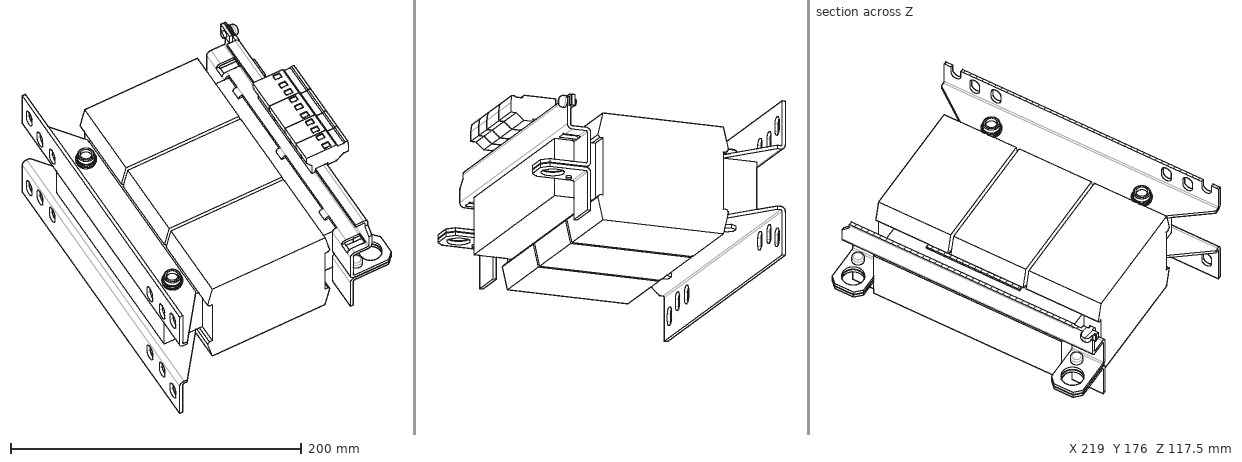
import cadquery as cq
import math


CORE_SIZE = 150.0
YOKE_WIDTH = CORE_SIZE / 5
CORE_HALF = CORE_SIZE / 2
CORE_HALF_HEIGHT = 20.6
WINDOW_HALF = CORE_HALF - YOKE_WIDTH

COIL_PITCH = 2 * YOKE_WIDTH
COIL_WIDTH = 57.6
COIL_HALF_HEIGHT = 38.5
COIL_HALF_LENGTH = 44.7
FLANGE_HALF_LENGTH = 48.45
FLANGE_TIP_Z = 22.4
FLANGE_ROOT_Y = 47.0

SHEET = 2.5
BEND_INNER = 1.0
BEND_OUTER = BEND_INNER + SHEET
PLATE_TOP = CORE_HALF_HEIGHT + SHEET

FOOT_LENGTH = 219.0
FOOT_FRONT_Y = -82.4
FOOT_BACK_Y = -50.0
FOOT_END_Y = -76.4
FOOT_HALF_HEIGHT = 55.5
SLOT_WIDTH = 7.6
SLOT_LENGTH = 13.2
FOOT_SLOTS = [(100.0, 40.1), (85.0, 33.5), (68.0, 33.5)]

SCREW_X = COIL_PITCH
SCREW_Y = -CORE_HALF + YOKE_WIDTH / 2
WASHER_DIAMETER = 13.6
WASHER_HEIGHT = 2.0
LOCK_RING_DIAMETER = 14.6
LOCK_RING_HEIGHT = 0.5
SPRING_WASHER_DIAMETER = 12.2
SPRING_WASHER_HEIGHT = 1.4
HEAD_DIAMETER = 11.8
HEAD_HEIGHT = 4.0
HEAD_CHAMFER = 0.7
SOCKET_DIAMETER = 8.2
SOCKET_DEPTH = 3.0
NUT_FLATS = 8.8
NUT_HEIGHT = 2.6

BRACKET_HALF_LENGTH = 100.0
EYE_WIDTH = BRACKET_HALF_LENGTH - CORE_HALF
LEG_FRONT_Y = 58.3
FIN_BACK_Y = 75.5
EYE_TOP_Z = -2.6
EYE_GAP = 0.6
UPPER_EYE_BOTTOM_Z = EYE_TOP_Z - SHEET
LOWER_EYE_TOP_Z = UPPER_EYE_BOTTOM_Z - EYE_GAP
EYE_BACK_Y = 93.6
EYE_CHAMFER = 5.0
EYE_HOLE_DIAMETER = 16.0
EYE_HOLE_Y = 81.4
LOWER_LEG_Z = -36.4
TAB_WIDTH = 7.8
RAIL_TOP_Z = 45.7
RAIL_FRONT_Y = 65.6
RAIL_LEFT_X = -84.4
RAIL_RIGHT_X = 94.3
EAR_TOP_Z = 43.8
FIN_CHAMFER = BRACKET_HALF_LENGTH - RAIL_RIGHT_X
FIN_CORNER_Z = 33.7
ACCESS_CENTERS = [-82.75, 91.65]
ACCESS_WIDTH = 8.2
ACCESS_BOTTOM_Z = 19.9

EYE_SCREW_Y = 67.7
EYE_SCREW_HEAD_DIAMETER = 8.7
EYE_SCREW_HEAD_HEIGHT = 4.3
EYE_SCREW_FILLET = 1.2
EYE_SCREW_DIAMETER = 4.0
EYE_SCREW_END_Z = -9.5

EARTH_X = -95.8
EARTH_Z = 41.2
EARTH_HEAD_DIAMETER = 8.4
EARTH_HEAD_BACK_Y = 80.0
EARTH_HEAD_FILLET = 3.0
EARTH_CLAMP_WIDTH = 12.2
EARTH_CLAMP_HEIGHT = 7.8
EARTH_CLAMPS_Y = [(73.4, 74.5), (70.6, 73.0)]
EARTH_SHANK_DIAMETER = 5.0
EARTH_SHANK_END_Y = 68.2

BLOCK_LEFT_X = -36.1
BLOCK_RIGHT_X = 38.6
BLOCK_JOINTS_X = [-13.3, 8.6, 23.8]
JOINT_WIDTH = 0.1
JOINT_DEPTH = 0.2
TERMINALS_X = [-32.8, -24.7, -17.5, -10.2, -2.9, 5.2, 12.4, 19.7, 27.0, 35.1]
TERMINAL_WIDTH = 3.8
TERMINAL_FRONT_Y = 73.6
TERMINAL_BACK_Y = 78.7
TERMINAL_DEPTH = 1.0
CLIP_BOTTOM_Z = 41.9
CLIP_FRONT_Y = 62.7
BLOCK_HEEL_Z = 43.8
BLOCK_SEAT_Z = RAIL_TOP_Z - 0.2
BLOCK_TOP_Z = 62.0
BLOCK_OUTLINE = [
    (58.5, BLOCK_TOP_Z),
    (82.0, BLOCK_TOP_Z),
    (83.5, 60.0),
    (88.2, 60.0),
    (89.2, 60.8),
    (91.2, 60.8),
    (92.0, 55.4),
    (92.0, 48.7),
    (88.0, 48.7),
    (82.2, BLOCK_HEEL_Z),
    (FIN_BACK_Y, BLOCK_HEEL_Z),
    (FIN_BACK_Y, BLOCK_SEAT_Z),
    (RAIL_FRONT_Y, BLOCK_SEAT_Z),
    (RAIL_FRONT_Y, CLIP_BOTTOM_Z),
    (CLIP_FRONT_Y, CLIP_BOTTOM_Z),
    (CLIP_FRONT_Y, 51.0),
    (58.5, 56.6),
]


def box(x_range, y_range, z_range):
    """Block between the given limits on each axis."""
    size = [high - low for low, high in (x_range, y_range, z_range)]
    return cq.Workplane("XY").box(*size, centered=False).translate((x_range[0], y_range[0], z_range[0]))


def prism_x(outline, x_start, x_end):
    """Extrude a (y, z) outline from x_start to x_end."""
    return cq.Workplane("YZ", origin=(x_start, 0, 0)).polyline(outline).close().extrude(x_end - x_start)


def disc(x, y, z, diameter, height):
    """Upright cylinder standing on height z."""
    return cq.Workplane("XY", origin=(x, y, z)).circle(diameter / 2).extrude(height)


def disc_y(x, z, diameter, y_start, y_end):
    """Cylinder along Y from y_start to y_end."""
    plane = cq.Workplane("XZ", origin=(x, y_start, z))
    return plane.circle(diameter / 2).extrude(y_start - y_end)


def bent_strip(path, x_start, x_end):
    """Sheet strip along X with one face on a (y, z) path and its thickness to the right of the path.

    Both faces are rounded at every bend: the convex one by the outer radius, the concave one by the inner.
    """
    directions = []
    for (y0, z0), (y1, z1) in zip(path, path[1:]):
        length = math.hypot(y1 - y0, z1 - z0)
        directions.append(((y1 - y0) / length, (z1 - z0) / length))
    offset_path = [offset_corner(path[0], directions[0], directions[0])]
    for corner, before, after in zip(path[1:-1], directions, directions[1:]):
        offset_path.append(offset_corner(corner, before, after))
    offset_path.append(offset_corner(path[-1], directions[-1], directions[-1]))
    strip = prism_x(path + offset_path[::-1], x_start, x_end)
    x_middle = (x_start + x_end) / 2
    for index in range(1, len(path) - 1):
        before, after = directions[index - 1], directions[index]
        turns_right = before[0] * after[1] - before[1] * after[0] < 0
        path_radius, offset_radius = (BEND_OUTER, BEND_INNER) if turns_right else (BEND_INNER, BEND_OUTER)
        for (y, z), radius in ((path[index], path_radius), (offset_path[index], offset_radius)):
            edge = cq.selectors.NearestToPointSelector((x_middle, y, z))
            strip = strip.edges("|X").edges(edge).fillet(radius)
    return strip


def offset_corner(corner, before, after):
    """Corner moved by the sheet thickness to the right of its two right-angled path directions."""
    normals = {(round(d[1]), round(-d[0])) for d in (before, after)}
    return tuple(corner[axis] + SHEET * sum(normal[axis] for normal in normals) for axis in (0, 1))


def mirror_x(body):
    """The body together with its mirror image across X = 0."""
    return body.union(body.mirror("YZ"))


def make_core():
    """Core with two windows between its three legs."""
    core = cq.Workplane("XY").box(CORE_SIZE, CORE_SIZE, 2 * CORE_HALF_HEIGHT)
    windows = cq.Workplane("XY").pushPoints([(-YOKE_WIDTH, 0), (YOKE_WIDTH, 0)])
    return core.cut(windows.box(YOKE_WIDTH, 2 * WINDOW_HALF, 2 * CORE_HALF_HEIGHT))


def make_coils():
    """One coil around each leg, with sloping end flanges above and below the yokes."""
    flange_side = [
        (COIL_HALF_LENGTH, CORE_HALF_HEIGHT),
        (FLANGE_ROOT_Y, CORE_HALF_HEIGHT),
        (FLANGE_HALF_LENGTH, FLANGE_TIP_Z),
        (COIL_HALF_LENGTH, COIL_HALF_HEIGHT),
    ]
    back = [(y, -z) for y, z in reversed(flange_side)] + flange_side
    front = [(-y, -z) for y, z in back]
    coils = cq.Workplane("XY")
    for center in (-COIL_PITCH, 0, COIL_PITCH):
        coils = coils.union(prism_x(back + front, center - COIL_WIDTH / 2, center + COIL_WIDTH / 2))
    return coils


def make_upper_foot():
    """Angle on top of the front yoke: tapered plate and a slotted upright flange."""
    half_length = FOOT_LENGTH / 2
    path = [
        (FOOT_BACK_Y, CORE_HALF_HEIGHT),
        (FOOT_FRONT_Y, CORE_HALF_HEIGHT),
        (FOOT_FRONT_Y, FOOT_HALF_HEIGHT),
    ]
    foot = bent_strip(path, -half_length, half_length)
    corner = [(half_length, FOOT_END_Y), (half_length, FOOT_BACK_Y), (CORE_HALF, FOOT_BACK_Y)]
    taper = cq.Workplane("XY").polyline(corner).close().extrude(FOOT_HALF_HEIGHT)
    foot = foot.cut(mirror_x(taper))
    centers = [(side * x, z) for x, z in FOOT_SLOTS for side in (-1, 1)]
    slots = cq.Workplane("XZ", origin=(0, FOOT_FRONT_Y + SHEET, 0)).pushPoints(centers)
    return foot.cut(slots.slot2D(SLOT_LENGTH, SLOT_WIDTH, 90).extrude(SHEET))


def make_feet():
    """The upper foot and its mirror image below the core."""
    upper = make_upper_foot()
    return upper.union(upper.mirror("XY"))


def make_core_screws():
    """Two screws through the feet: washer, lock ring, spring washer and socket head on top, nut below."""
    ring_z = PLATE_TOP + WASHER_HEIGHT
    spring_z = ring_z + LOCK_RING_HEIGHT
    head_z = spring_z + SPRING_WASHER_HEIGHT
    head_top = head_z + HEAD_HEIGHT
    screw = disc(SCREW_X, SCREW_Y, PLATE_TOP, WASHER_DIAMETER, WASHER_HEIGHT)
    screw = screw.union(disc(SCREW_X, SCREW_Y, ring_z, LOCK_RING_DIAMETER, LOCK_RING_HEIGHT))
    screw = screw.union(disc(SCREW_X, SCREW_Y, spring_z, SPRING_WASHER_DIAMETER, SPRING_WASHER_HEIGHT))
    head = disc(SCREW_X, SCREW_Y, head_z, HEAD_DIAMETER, HEAD_HEIGHT).faces(">Z").chamfer(HEAD_CHAMFER)
    head = head.cut(disc(SCREW_X, SCREW_Y, head_top - SOCKET_DEPTH, SOCKET_DIAMETER, SOCKET_DEPTH))
    nut_diameter = NUT_FLATS / math.cos(math.pi / 6)
    nut = cq.Workplane("XY", origin=(SCREW_X, SCREW_Y, -PLATE_TOP))
    nut = nut.polygon(6, nut_diameter).extrude(-NUT_HEIGHT)
    return mirror_x(screw.union(head).union(nut))


def make_eye_outline():
    """Region of the right-hand lifting eye seen along Z, reaching over the full height."""
    z_range = (LOWER_LEG_Z, PLATE_TOP)
    outline = box((CORE_HALF, BRACKET_HALF_LENGTH), (LEG_FRONT_Y, EYE_BACK_Y), z_range)
    outline = outline.edges("|Z and >Y").chamfer(EYE_CHAMFER)
    hole_x = CORE_HALF + EYE_WIDTH / 2
    hole = disc(hole_x, EYE_HOLE_Y, LOWER_LEG_Z, EYE_HOLE_DIAMETER, EYE_TOP_Z - LOWER_LEG_Z)
    return outline.cut(hole)


def make_lifting_eyes():
    """Pairs of angles beside the back yoke whose flat flanges are screwed together across a thin gap."""
    lower_path = [(LEG_FRONT_Y, LOWER_LEG_Z), (LEG_FRONT_Y, LOWER_EYE_TOP_Z), (EYE_BACK_Y, LOWER_EYE_TOP_Z)]
    upper_path = [(EYE_BACK_Y, UPPER_EYE_BOTTOM_Z), (LEG_FRONT_Y, UPPER_EYE_BOTTOM_Z), (LEG_FRONT_Y, 0)]
    eye = bent_strip(lower_path, CORE_HALF, BRACKET_HALF_LENGTH)
    eye = eye.union(bent_strip(upper_path, CORE_HALF, BRACKET_HALF_LENGTH))
    return mirror_x(eye.intersect(make_eye_outline()))


def make_bracket():
    """Terminal bracket: legs at both ends, a plate over the yoke, a fin and a top rail."""
    rail_path = [
        (LEG_FRONT_Y + BEND_OUTER, CORE_HALF_HEIGHT),
        (FIN_BACK_Y, CORE_HALF_HEIGHT),
        (FIN_BACK_Y, RAIL_TOP_Z),
        (RAIL_FRONT_Y, RAIL_TOP_Z),
    ]
    mirrored = [(-y, z) for y, z in rail_path]
    bracket = bent_strip(mirrored, -BRACKET_HALF_LENGTH, BRACKET_HALF_LENGTH).mirror("XZ")

    fin_front_y = FIN_BACK_Y - SHEET
    lip_z = (RAIL_TOP_Z - BEND_OUTER, RAIL_TOP_Z)
    for x_range in ((-BRACKET_HALF_LENGTH, RAIL_LEFT_X), (RAIL_RIGHT_X, BRACKET_HALF_LENGTH)):
        bracket = bracket.cut(box(x_range, (RAIL_FRONT_Y, FIN_BACK_Y), lip_z))
    ear_z = (RAIL_TOP_Z - BEND_OUTER, EAR_TOP_Z)
    ear = box((-BRACKET_HALF_LENGTH, RAIL_LEFT_X), (fin_front_y, FIN_BACK_Y), ear_z)
    bracket = bracket.union(ear)

    corner = [
        (RAIL_RIGHT_X, RAIL_TOP_Z),
        (RAIL_RIGHT_X, FIN_CORNER_Z + FIN_CHAMFER),
        (BRACKET_HALF_LENGTH, FIN_CORNER_Z),
        (BRACKET_HALF_LENGTH, RAIL_TOP_Z),
    ]
    corner_cut = cq.Workplane("XZ", origin=(0, FIN_BACK_Y, 0)).polyline(corner).close().extrude(BEND_OUTER)
    bracket = bracket.cut(corner_cut)

    leg_path = [(LEG_FRONT_Y, 0), (LEG_FRONT_Y, PLATE_TOP), (RAIL_FRONT_Y, PLATE_TOP)]
    bracket = bracket.union(mirror_x(bent_strip(leg_path, CORE_HALF, BRACKET_HALF_LENGTH)))
    for center in (-COIL_PITCH, 0, COIL_PITCH):
        bracket = bracket.union(bent_strip(leg_path, center - TAB_WIDTH / 2, center + TAB_WIDTH / 2))

    for center in ACCESS_CENTERS:
        x_range = (center - ACCESS_WIDTH / 2, center + ACCESS_WIDTH / 2)
        bracket = bracket.cut(box(x_range, (LEG_FRONT_Y, fin_front_y), (ACCESS_BOTTOM_Z, PLATE_TOP)))
    return bracket


def make_eye_screws():
    """Round-headed screws that clamp the two flanges of each lifting eye, below the access slots."""
    screws = cq.Workplane("XY")
    for x in ACCESS_CENTERS:
        head = disc(x, EYE_SCREW_Y, EYE_TOP_Z, EYE_SCREW_HEAD_DIAMETER, EYE_SCREW_HEAD_HEIGHT)
        head = head.faces(">Z").edges().fillet(EYE_SCREW_FILLET)
        shank = disc(x, EYE_SCREW_Y, EYE_SCREW_END_Z, EYE_SCREW_DIAMETER, EYE_TOP_Z - EYE_SCREW_END_Z)
        screws = screws.union(head).union(shank)
    return screws


def make_earth_screw():
    """Earth screw through the left end of the fin, with two clamp plates."""
    head = disc_y(EARTH_X, EARTH_Z, EARTH_HEAD_DIAMETER, FIN_BACK_Y, EARTH_HEAD_BACK_Y)
    head = head.faces(">Y").edges().fillet(EARTH_HEAD_FILLET)
    screw = head.union(disc_y(EARTH_X, EARTH_Z, EARTH_SHANK_DIAMETER, EARTH_SHANK_END_Y, FIN_BACK_Y))
    x_range = (EARTH_X - EARTH_CLAMP_WIDTH / 2, EARTH_X + EARTH_CLAMP_WIDTH / 2)
    z_range = (EARTH_Z - EARTH_CLAMP_HEIGHT / 2, EARTH_Z + EARTH_CLAMP_HEIGHT / 2)
    for y_range in EARTH_CLAMPS_Y:
        screw = screw.union(box(x_range, y_range, z_range))
    return screw


def make_terminal_block():
    """Row of terminal modules on the rail, with joints between modules and wire openings on top."""
    block = prism_x(BLOCK_OUTLINE, BLOCK_LEFT_X, BLOCK_RIGHT_X)
    section = cq.Workplane("YZ").polyline(BLOCK_OUTLINE).close()
    inside = section.offset2D(-JOINT_DEPTH, "intersection").extrude(JOINT_WIDTH)
    joint = prism_x(BLOCK_OUTLINE, 0, JOINT_WIDTH).cut(inside)
    for x in BLOCK_JOINTS_X:
        block = block.cut(joint.translate((x - JOINT_WIDTH / 2, 0, 0)))
    for x in TERMINALS_X:
        x_range = (x - TERMINAL_WIDTH / 2, x + TERMINAL_WIDTH / 2)
        z_range = (BLOCK_TOP_Z - TERMINAL_DEPTH, BLOCK_TOP_Z)
        block = block.cut(box(x_range, (TERMINAL_FRONT_Y, TERMINAL_BACK_Y), z_range))
    return block


result = (
    make_core()
    .union(make_coils())
    .union(make_feet())
    .union(make_core_screws())
    .union(make_bracket())
    .union(make_lifting_eyes())
    .union(make_eye_screws())
    .union(make_earth_screw())
    .union(make_terminal_block())
)